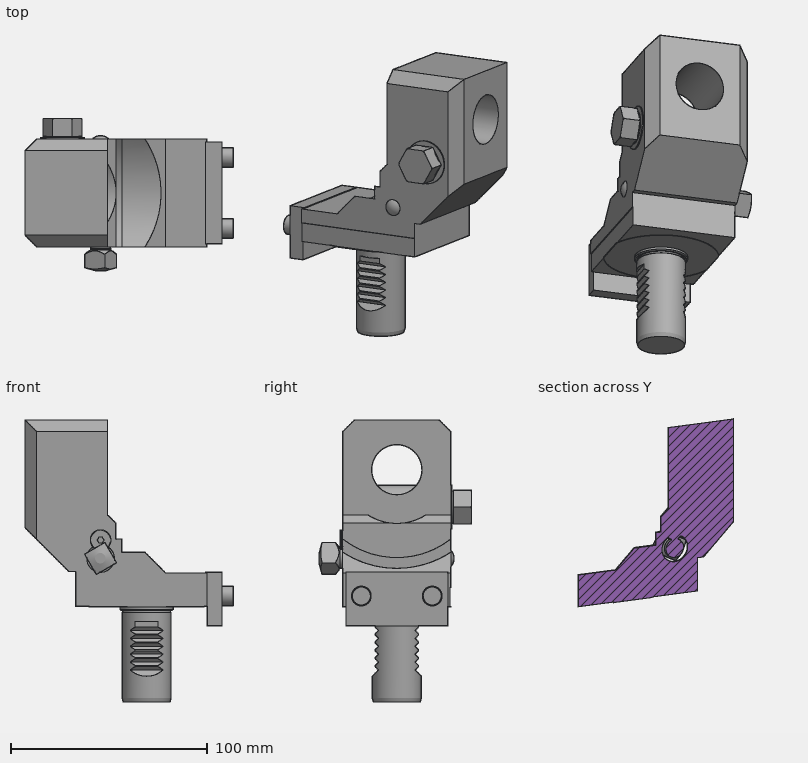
import cadquery as cq
import math

body_width = 55.0
half_width = body_width / 2

tower_left = -61.8
tower_right = -19.8
tower_top = 94.9
tower_chamfer = 6.0
tower_lip_z = 46.5
underside_rise = 22.4

base_left = -36.0
base_right = 30.5
base_height = 17.7
back_height = 17.1
base_slab_height = 9.8
base_slab_inset = 0.5
back_ramp_foot = 9.6

bore_diameter = 25.4
bore_z = 69.5
nose_clearance_radius = 27.3
nose_clearance_end = -15.6
step_clearance_radius = 44.6
step_clearance_end = -12.6
body_clearance_radius = 50.1

pad_diameter = 58.5
pad_height = 0.3

flange_diameter = 27.1
flange_height = 2.0
flange_edge = 0.6
shank_diameter = 25.0
relief_diameter = 24.4
relief_bottom = -3.0
shank_bottom = -48.6
shank_end_height = 2.0
shank_end_inset = 0.6
tooth_flat_y = 11.0
tooth_depth = 1.7
tooth_pitch = 4.0
tooth_count = 6
tooth_flat_top = -7.7
first_groove_z = -12.2

plate_left = 29.8
plate_right = 38.3
plate_top = 17.5
plate_bottom = -9.9
plate_width = 51.8
plate_undercut = 0.9

screw_diameter = 10.0
screw_height = 5.9
screw_edge = 0.5
screw_spacing = 36.0
screw_z = 5.3

clamp_x = -42.8
clamp_z = 50.5
clamp_disc_diameter = 22.2
clamp_disc_height = 0.6
clamp_neck_diameter = 16.5
clamp_neck_height = 0.7
clamp_hex_flats = 17.2
clamp_hex_height = 9.2
clamp_hex_edge = 0.5

stop_x = -23.4
stop_z = 24.4
stop_neck_diameter = 10.0
stop_neck_height = 1.5
stop_recess_diameter = 14.0
stop_recess_depth = 1.5
stop_collar_diameter = 12.0
stop_collar_height = 0.6
stop_head_size = 11.9
stop_head_angle = 60
stop_head_back = 1.7
stop_head_length = 6.7
stop_tip_diameter = 5.3
stop_tip_height = 1.6
stop_end_diameter = 8.3
stop_end_height = 1.7

button_z = 33.7
button_diameter = 10.5
button_height = 1.3
button_base_diameter = 9.8
button_base_height = 0.7
button_socket = 3.5
button_socket_depth = 1.1

overlap = 2.2


def box(x0, x1, y0, y1, z0, z1):
    """Box between two opposite corners."""
    return cq.Workplane("XY").box(x1 - x0, y1 - y0, z1 - z0, centered=False).translate((x0, y0, z0))


def rod_y(x, z, y_start, length, diameter):
    """Cylinder along Y; a negative length runs toward -Y."""
    direction = cq.Vector(0, math.copysign(1, length), 0)
    start = cq.Vector(x, y_start, z)
    return cq.Workplane(cq.Solid.makeCylinder(diameter / 2, abs(length), start, direction))


def rod_x(x0, x1, y, z, diameter):
    """Cylinder along +X."""
    start = cq.Vector(x0, y, z)
    return cq.Workplane(cq.Solid.makeCylinder(diameter / 2, x1 - x0, start, cq.Vector(1, 0, 0)))


def make_body():
    """Side profile of tower and base, with the tower edges chamfered."""
    lip_drop = nose_clearance_end - tower_right
    ramp_top_x = step_clearance_end
    ramp_top_z = back_height + back_ramp_foot - ramp_top_x
    profile = [
        (tower_left, tower_top),
        (tower_right, tower_top),
        (tower_right, tower_lip_z),
        (nose_clearance_end, tower_lip_z - lip_drop),
        (step_clearance_end, tower_lip_z - lip_drop),
        (ramp_top_x, ramp_top_z),
        (back_ramp_foot, back_height),
        (base_right, back_height),
        (base_right, 0),
        (base_left, 0),
        (base_left, base_height),
        (tower_left + underside_rise, base_height),
        (tower_left, base_height + underside_rise),
    ]
    body = cq.Workplane("XZ").polyline(profile).close().extrude(half_width, both=True)
    body = body.faces("<X").edges("|Z").chamfer(tower_chamfer)
    body = body.faces(">Z").edges("|X").chamfer(tower_chamfer)
    inset_y = half_width - base_slab_inset
    body = body.cut(box(base_left, base_right, inset_y, half_width, 0, base_slab_height))
    pad = cq.Workplane("XY").circle(pad_diameter / 2).extrude(-pad_height)
    pad_limit = box(base_left, base_right, -half_width, half_width, -pad_height, 0)
    return body.union(pad.intersect(pad_limit))


def cut_bore(body):
    """Through bore and the stepped round clearances that share its axis."""
    cuts = [
        (tower_left, tower_right, bore_diameter / 2),
        (tower_right, nose_clearance_end, nose_clearance_radius),
        (nose_clearance_end, step_clearance_end, step_clearance_radius),
        (step_clearance_end, base_right, body_clearance_radius),
    ]
    for x_start, x_end, radius in cuts:
        body = body.cut(rod_x(x_start, x_end, 0, bore_z, 2 * radius))
    return body


def make_shank():
    """Round shank with a flange, a relief below it and a toothed flat on each Y side."""
    radius = shank_diameter / 2
    shank = cq.Workplane("XY").circle(flange_diameter / 2).extrude(-flange_height)
    shank = shank.faces("<Z").chamfer(flange_edge)
    outline = [
        (0, overlap),
        (relief_diameter / 2, overlap),
        (relief_diameter / 2, relief_bottom),
        (radius, relief_bottom),
        (radius, shank_bottom + shank_end_height),
        (radius - shank_end_inset, shank_bottom),
        (0, shank_bottom),
    ]
    shank = shank.union(cq.Workplane("XZ").polyline(outline).close().revolve(360, (0, 0), (0, 1)))

    outside = radius + overlap
    root_y = tooth_flat_y - tooth_depth
    points = [(outside, tooth_flat_top), (tooth_flat_y, tooth_flat_top)]
    for i in range(tooth_count):
        root_z = first_groove_z - i * tooth_pitch
        points.append((tooth_flat_y, root_z + tooth_depth))
        points.append((root_y, root_z))
        if i < tooth_count - 1:
            points.append((tooth_flat_y, root_z - tooth_depth))
    points.append((outside, root_z - (outside - root_y)))
    teeth = cq.Workplane("YZ").polyline(points).close().extrude(radius, both=True)
    return shank.cut(teeth).cut(teeth.mirror("XZ"))


def make_plate():
    """End plate hooked under the base, held by two screws along X."""
    half = plate_width / 2
    plate = box(plate_left, plate_right, -half, half, 0, plate_top)
    plate = plate.union(box(plate_left + plate_undercut, plate_right, -half, half, plate_bottom, 0))
    for side in (-1, 1):
        screw_y = side * screw_spacing / 2
        screw = rod_x(plate_right, plate_right + screw_height, screw_y, screw_z, screw_diameter)
        plate = plate.union(screw.faces(">X").chamfer(screw_edge))
    return plate


def make_clamp():
    """Clamping pin across the bore, with washer, neck and hexagon head on the +Y side."""
    pin_start = -bore_diameter / 2 - overlap
    disc_face = half_width + clamp_disc_height
    head_face = disc_face + clamp_neck_height
    clamp = rod_y(clamp_x, clamp_z, pin_start, disc_face - pin_start, clamp_disc_diameter)
    clamp = clamp.union(rod_y(clamp_x, clamp_z, disc_face, clamp_neck_height, clamp_neck_diameter))
    corner_diameter = clamp_hex_flats / math.cos(math.pi / 6)
    head = cq.Workplane("XZ").polygon(6, corner_diameter).extrude(-clamp_hex_height)
    head = head.translate((clamp_x, head_face, clamp_z))
    crown = rod_y(clamp_x, clamp_z, head_face, clamp_hex_height, corner_diameter)
    head = head.intersect(crown.faces(">Y").chamfer(clamp_hex_edge))
    return clamp.union(head)


def make_stop():
    """Square-headed bolt on the -Y side with its rounded end on the +Y side."""
    corner = stop_head_size / math.sqrt(2)
    collar = stop_collar_diameter / 2
    neck = stop_neck_diameter / 2

    collar_end = stop_neck_height + stop_collar_height
    corner_start = collar_end + stop_head_back
    corner_end = corner_start + stop_head_length
    tip = corner_end + stop_tip_height
    shaft_outline = [
        (0, -overlap),
        (neck, -overlap),
        (neck, stop_neck_height),
        (collar, collar_end),
        (0, collar_end),
    ]
    head_outline = [
        (0, collar_end),
        (collar, collar_end),
        (corner, corner_start),
        (corner, corner_end),
        (stop_tip_diameter / 2, tip),
        (0, tip),
    ]
    shaft = cq.Workplane("XY").polyline(shaft_outline).close().revolve(360, (0, 0), (0, 1))
    head = cq.Workplane("XY").polyline(head_outline).close().revolve(360, (0, 0), (0, 1))
    square = cq.Workplane("XZ").rect(stop_head_size, stop_head_size).extrude(-tip)
    square = square.rotate((0, 0, 0), (0, 1, 0), stop_head_angle)
    bolt = shaft.union(head.intersect(square)).mirror("XZ").translate((stop_x, -half_width, stop_z))

    half_end = stop_end_diameter / 2
    ball_radius = (half_end**2 + stop_end_height**2) / (2 * stop_end_height)
    ball = cq.Workplane("XY").sphere(ball_radius)
    ball = ball.translate((stop_x, half_width + stop_end_height - ball_radius, stop_z))
    return bolt.union(ball)


def make_button():
    """Thin round head with a hexagon socket, next to the square-headed bolt."""
    base_face = -half_width - button_base_height
    rim_height = button_height - button_base_height
    base_start = -half_width + overlap
    button = rod_y(stop_x, button_z, base_start, base_face - base_start, button_base_diameter)
    button = button.union(rod_y(stop_x, button_z, base_face, -rim_height, button_diameter))
    socket = cq.Workplane("XZ").polygon(6, button_socket).extrude(button_socket_depth)
    socket_floor = -half_width - button_height + button_socket_depth
    return button.cut(socket.translate((stop_x, socket_floor, button_z)))


result = cut_bore(make_body())
stop_recess = rod_y(stop_x, stop_z, -half_width, stop_recess_depth, stop_recess_diameter)
result = result.cut(stop_recess)
for part in (make_shank(), make_plate(), make_clamp(), make_stop(), make_button()):
    result = result.union(part)